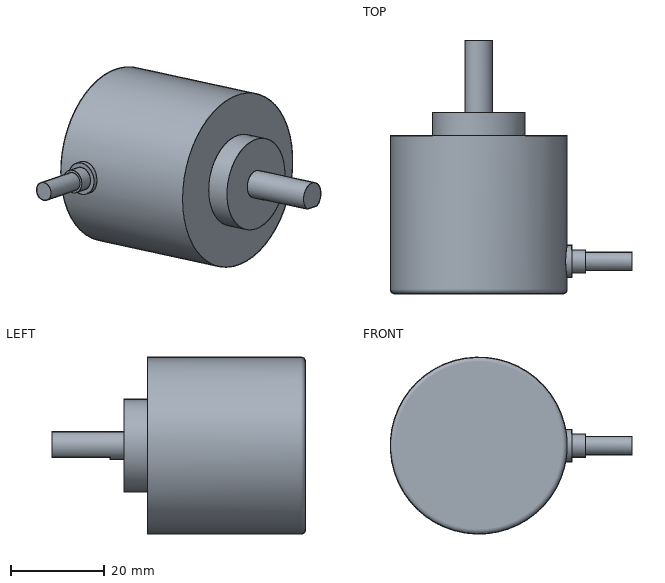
import cadquery as cq


HOUSING_DIAMETER = 38.05
HOUSING_LENGTH = 34.0
REAR_FILLET = 1.0

BOSS_DIAMETER = 20.0
BOSS_LENGTH = 5.0
OVERALL_LENGTH = 54.5
SHAFT_DIAMETER = 6.0
FLAT_DEPTH = 0.5
FLAT_LENGTH = 12.5

OUTLET_FROM_REAR = 7.0
COLLAR_DIAMETER = 7.0
COLLAR_REACH = 20.0
SLEEVE_DIAMETER = 5.0
SLEEVE_REACH = 23.0
CABLE_DIAMETER = 4.0
CABLE_REACH = 32.95

BOSS_END = HOUSING_LENGTH + BOSS_LENGTH


def cylinder_along_y(diameter, start, end):
    """Cylinder on the shaft axis between two Y positions."""
    base = cq.Workplane("XZ", origin=(0, start, 0))
    return base.circle(diameter / 2).extrude(start - end)


def outlet_cylinder(diameter, reach):
    """Cylinder from the shaft axis out through the side of the housing."""
    base = cq.Workplane("YZ", origin=(0, OUTLET_FROM_REAR, 0))
    return base.circle(diameter / 2).extrude(reach)


def make_housing():
    housing = cylinder_along_y(HOUSING_DIAMETER, 0, HOUSING_LENGTH)
    return housing.faces("<Y").edges().fillet(REAR_FILLET)


def make_shaft():
    """Round shaft with a flat on its underside, ending short of the boss."""
    shaft = cylinder_along_y(SHAFT_DIAMETER, HOUSING_LENGTH, OVERALL_LENGTH)
    flat_cut = cq.Workplane("XY").box(
        SHAFT_DIAMETER, FLAT_LENGTH, FLAT_DEPTH, centered=(True, False, False)
    ).translate((0, OVERALL_LENGTH - FLAT_LENGTH, -SHAFT_DIAMETER / 2))
    return shaft.cut(flat_cut)


def make_cable_outlet():
    collar = outlet_cylinder(COLLAR_DIAMETER, COLLAR_REACH)
    sleeve = outlet_cylinder(SLEEVE_DIAMETER, SLEEVE_REACH)
    cable = outlet_cylinder(CABLE_DIAMETER, CABLE_REACH)
    return collar.union(sleeve).union(cable)


result = (
    make_housing()
    .union(cylinder_along_y(BOSS_DIAMETER, HOUSING_LENGTH, BOSS_END))
    .union(make_shaft())
    .union(make_cable_outlet())
)